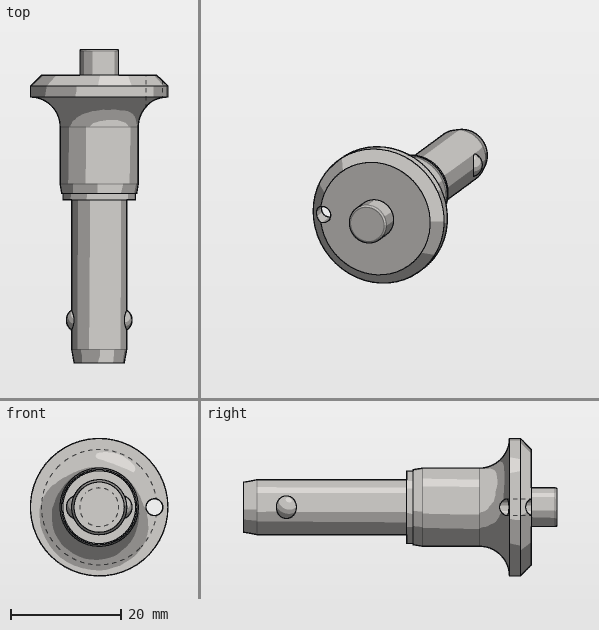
import cadquery as cq
import math

nose_length = 2.45
ball_position = 7.8
collar_start = 29.6
taper_start = 30.8
grip_start = 32.5
flare_start = 42.85
rim_end = 50.25
head_end = 52.25
total_length = 56.9

shank_radius = 5.0
tip_radius = 4.55
collar_radius = 6.6
taper_radius = 6.8
grip_radius = 7.1
rim_radius = 25.0 / 2
head_face_radius = 10.45
button_radius = 3.5
button_edge_radius = 0.35

flare_radius = rim_radius - grip_radius
rim_start = flare_start + flare_radius

ball_reach = 6.0
ball_mouth_radius = 1.8

hole_offset = 10.0
hole_diameter = 3.0


def flare_midpoint():
    """Halfway point of the concave quarter arc between grip and rim."""
    depth = flare_radius * (1 - math.sqrt(0.5))
    return (grip_radius + depth, rim_start - depth)


def make_body():
    """Shank, collar, grip, flange and button turned as one profile."""
    profile = (
        cq.Workplane("XY")
        .lineTo(tip_radius, 0)
        .lineTo(shank_radius, nose_length)
        .lineTo(shank_radius, collar_start)
        .lineTo(collar_radius, collar_start)
        .lineTo(collar_radius, taper_start)
        .lineTo(taper_radius, taper_start)
        .lineTo(grip_radius, grip_start)
        .lineTo(grip_radius, flare_start)
        .threePointArc(flare_midpoint(), (rim_radius, rim_start))
        .lineTo(rim_radius, rim_end)
        .lineTo(head_face_radius, head_end)
        .lineTo(button_radius, head_end)
        .lineTo(button_radius, total_length)
        .lineTo(0, total_length)
        .close()
    )
    body = profile.revolve(360, (0, 0, 0), (0, 1, 0))
    return body.faces(">Y").edges().fillet(button_edge_radius)


def make_ball(side):
    """Ball whose cap leaves the shank; side is 1 for +X and -1 for -X."""
    cap_height = ball_reach - shank_radius
    ball_radius = (ball_mouth_radius**2 + cap_height**2) / (2 * cap_height)
    center = (side * (ball_reach - ball_radius), ball_position, 0)
    return cq.Workplane("XY").sphere(ball_radius).translate(center)


def make_lanyard_hole():
    """Cutter parallel to the pin axis, long enough to pass through the flange."""
    return (
        cq.Workplane("XZ", origin=(hole_offset, total_length, 0))
        .circle(hole_diameter / 2)
        .extrude(total_length - flare_start)
    )


result = make_body()
for side in (-1, 1):
    result = result.union(make_ball(side))
result = result.cut(make_lanyard_hole())